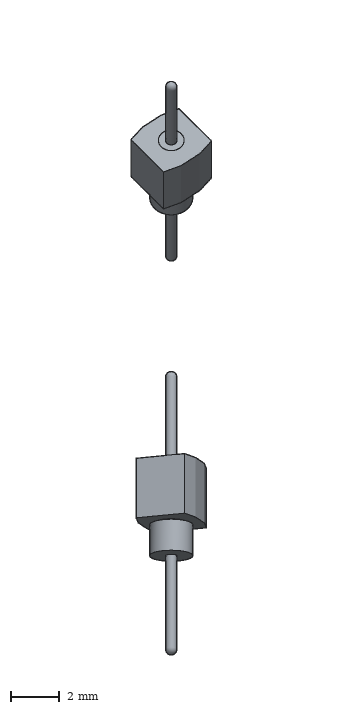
import cadquery as cq

housing_size = 2.54
housing_end_width = 2.14
housing_side_flat = 0.98

wire_diameter = 0.47
wire_radius = wire_diameter / 2
upper_pin_length = 3.90
tail_length = 4.22

plug_diameter = 1.06
neck_diameter = 1.36
neck_height = 0.08
flange_diameter = 1.78
flange_height = 1.32

housing_bottom = 0.0
housing_top = housing_bottom + housing_size
flange_top = housing_bottom - neck_height
flange_bottom = flange_top - flange_height
tail_tip = flange_bottom - tail_length
pin_tip = housing_top + upper_pin_length
socket_floor = housing_bottom


def cylinder(diameter, bottom, top):
    """Solid round bar on the Z axis between two heights."""
    return cq.Workplane("XY").workplane(offset=bottom).circle(diameter / 2).extrude(top - bottom)


def domed_wire(base, tip):
    """Round wire on the Z axis with a flat base and a hemispherical tip, pointing up or down."""
    direction = 1 if tip > base else -1
    dome_start = tip - direction * wire_radius
    shaft = cylinder(wire_diameter, min(base, dome_start), max(base, dome_start))
    dome = cq.Workplane("XY").sphere(wire_radius).translate((0, 0, dome_start))
    return shaft.union(dome)


def make_housing():
    """Bevelled block with a through hole for the terminal plug."""
    half = housing_size / 2
    half_end = housing_end_width / 2
    half_flat = housing_side_flat / 2
    outline = [
        (half, -half_flat),
        (half, half_flat),
        (half_end, half),
        (-half_end, half),
        (-half, half_flat),
        (-half, -half_flat),
        (-half_end, -half),
        (half_end, -half),
    ]
    base_plane = cq.Workplane("XY").workplane(offset=housing_bottom)
    block = base_plane.polyline(outline).close().extrude(housing_size)
    return block.cut(cylinder(plug_diameter, housing_bottom, housing_top))


def make_upper_pin():
    """Straight pin standing in the terminal's socket."""
    return domed_wire(socket_floor, pin_tip)


def make_terminal():
    """Plug, neck, flange and tail in one piece, with a blind socket for the upper pin."""
    plug = cylinder(plug_diameter, housing_bottom, housing_top)
    neck = cylinder(neck_diameter, flange_top, housing_bottom)
    flange = cylinder(flange_diameter, flange_bottom, flange_top)
    tail = domed_wire(flange_bottom, tail_tip)
    socket = cylinder(wire_diameter, socket_floor, housing_top)
    return flange.union(neck).union(plug).union(tail).cut(socket)


housing = make_housing()
terminal = make_terminal()
upper_pin = make_upper_pin()

result = cq.Compound.makeCompound([housing.val(), terminal.val(), upper_pin.val()])